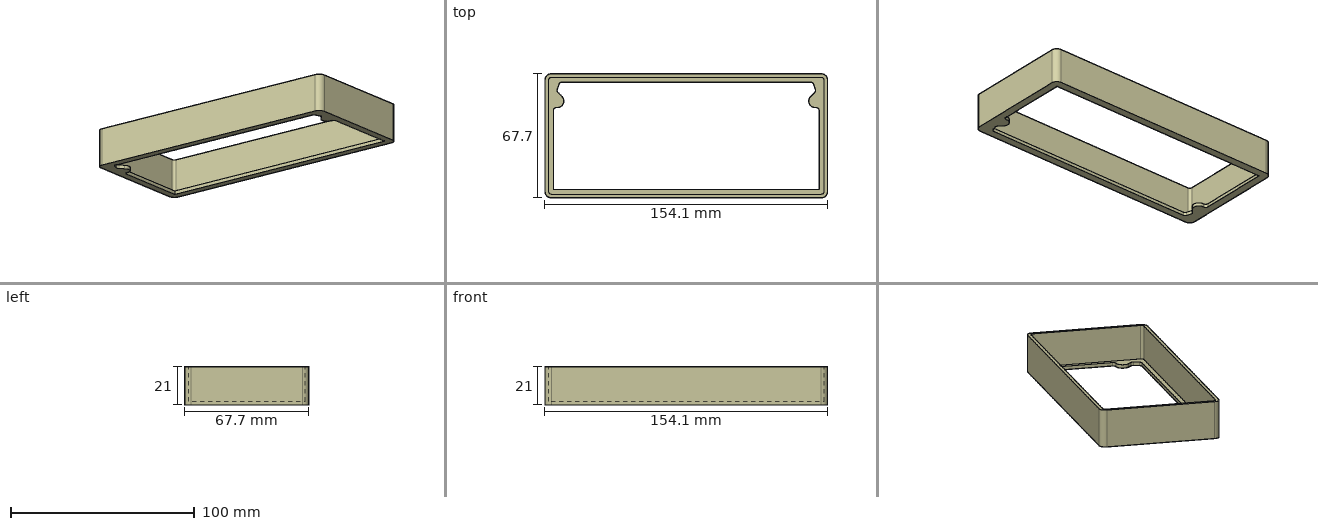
import cadquery as cq
import math

LENGTH = 154.05
WIDTH = 67.7
HEIGHT = 21.0
WALL = 2.0
OUTER_CORNER_RADIUS = 3.5
INNER_CORNER_RADIUS = OUTER_CORNER_RADIUS - WALL

LEDGE_THICKNESS = 2.0
LEDGE_MARGIN = 4.7

TAB_RADIUS = 3.6
TAB_CENTER_INSET = 6.75
TAB_CENTER_DEPTH = 14.95
TAB_FLANK_ANGLE = math.radians(45)
NOTCH_START_INSET = 8.1
NOTCH_LEAN = math.radians(19)
NOTCH_START_FILLET = 1.5
NOTCH_FILLET = 1.5
TAB_ROOT_FILLET = 1.5


def rounded_block(length, width, height, corner_radius):
    block = cq.Workplane("XY").box(length, width, height, centered=(True, True, False))
    return block.edges("|Z").fillet(corner_radius)


def fillet_upright_edge(body, x, y, radius):
    """Round the single vertical edge that stands at (x, y)."""
    edge = body.edges(cq.selectors.NearestToPointSelector((x, y, HEIGHT / 2)))
    return edge.fillet(radius)


def opening_cutter():
    """Body of the through opening, shaped around the two tabs."""
    side = LENGTH / 2
    back = WIDTH / 2
    opening_x = side - LEDGE_MARGIN
    opening_y = back - LEDGE_MARGIN

    tab_x = side - TAB_CENTER_INSET
    tab_y = back - TAB_CENTER_DEPTH
    root_y = tab_y - TAB_RADIUS
    start_x = side - NOTCH_START_INSET

    flank_x = tab_x - TAB_RADIUS * math.sin(TAB_FLANK_ANGLE)
    flank_y = tab_y + TAB_RADIUS * math.cos(TAB_FLANK_ANGLE)
    flank_slope = math.tan(TAB_FLANK_ANGLE)
    lean_slope = math.tan(NOTCH_LEAN)
    drop = (opening_y - flank_y - flank_slope * (start_x - flank_x)) / (1 + flank_slope * lean_slope)
    notch_x = start_x + drop * lean_slope
    notch_y = opening_y - drop
    arc_angle = TAB_FLANK_ANGLE / 2
    arc_x = tab_x - TAB_RADIUS * math.cos(arc_angle)
    arc_y = tab_y - TAB_RADIUS * math.sin(arc_angle)

    cutter = (
        cq.Workplane("XY")
        .moveTo(-opening_x, -opening_y)
        .lineTo(opening_x, -opening_y)
        .lineTo(opening_x, root_y)
        .lineTo(tab_x, root_y)
        .threePointArc((arc_x, arc_y), (flank_x, flank_y))
        .lineTo(notch_x, notch_y)
        .lineTo(start_x, opening_y)
        .lineTo(-start_x, opening_y)
        .lineTo(-notch_x, notch_y)
        .lineTo(-flank_x, flank_y)
        .threePointArc((-arc_x, arc_y), (-tab_x, root_y))
        .lineTo(-opening_x, root_y)
        .close()
        .extrude(HEIGHT)
    )
    for hand in (-1, 1):
        cutter = fillet_upright_edge(cutter, hand * start_x, opening_y, NOTCH_START_FILLET)
        cutter = fillet_upright_edge(cutter, hand * notch_x, notch_y, NOTCH_FILLET)
        cutter = fillet_upright_edge(cutter, hand * opening_x, root_y, TAB_ROOT_FILLET)
    return cutter


def wall_cavity():
    """Space inside the wall, above the ledge."""
    cavity = rounded_block(LENGTH - 2 * WALL, WIDTH - 2 * WALL, HEIGHT, INNER_CORNER_RADIUS)
    return cavity.translate((0, 0, LEDGE_THICKNESS))


frame = rounded_block(LENGTH, WIDTH, HEIGHT, OUTER_CORNER_RADIUS)
result = frame.cut(wall_cavity()).cut(opening_cutter())